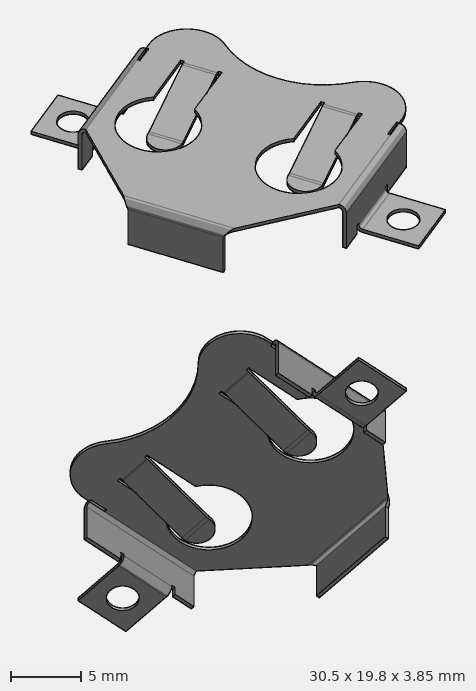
import cadquery as cq
import math


sheet = 0.3
inner_bend = 0.3
outer_bend = inner_bend + sheet
bend_angle = 90
diagonal = math.sqrt(0.5)
height = 3.85
overlap = 0.15
below, above = -0.3, height + 0.3

wall_x = 10.55
wall_front_y = -4.35
wall_back_y = 5.75
plate_edge_x = wall_x - outer_bend

slit_width = 0.198
slit_front_y = 4.33
slit_gap = 0.03

wall_y = -10.55
plate_front_y = wall_y + outer_bend
front_wall_half = 3.75
front_bend_half = 4.35

back_y = 9.25
lobe_radius = 3.0
hollow_y = 6.65

foot_end_x = 15.25
foot_width = 4.5
foot_hole_diameter = 2.35
foot_hole_x = 13.0
notch_width = 5.12
notch_height = 0.73

window_x = 5.52
window_diameter = 6.2
window_y = -1.65
slot_width = 3.23
slot_end_y = 5.58
tongue_width = 2.68
tongue_bend_y = 5.4
tip_bend_y = -0.55
tip_end_y = -1.8
tip_top_z = 1.7


def box(x0, x1, y0, y1, z0, z1):
    return cq.Workplane("XY").box(x1 - x0, y1 - y0, z1 - z0, centered=False).translate((x0, y0, z0))


def both_sides(body):
    return body.union(body.mirror("YZ"))


def outline_prism():
    """Outline of the plate, extruded through the full height."""
    lobe_x = plate_edge_x - lobe_radius
    lobe_y = back_y - lobe_radius
    rise = hollow_y - lobe_y
    hollow_radius = (lobe_x**2 + rise**2 - lobe_radius**2) / (2 * (lobe_radius - rise))
    share = lobe_radius / (lobe_radius + hollow_radius)
    tangent_x = lobe_x * (1 - share)
    tangent_y = lobe_y + share * (hollow_y + hollow_radius - lobe_y)
    return (
        cq.Workplane("XY")
        .moveTo(-front_bend_half, plate_front_y)
        .lineTo(front_bend_half, plate_front_y)
        .lineTo(plate_edge_x, wall_front_y)
        .lineTo(plate_edge_x, lobe_y)
        .threePointArc((lobe_x, back_y), (tangent_x, tangent_y))
        .threePointArc((0, hollow_y), (-tangent_x, tangent_y))
        .threePointArc((-lobe_x, back_y), (-plate_edge_x, lobe_y))
        .lineTo(-plate_edge_x, wall_front_y)
        .close()
        .extrude(height)
    )


def wall_section(plane, outer):
    """Bend and wall section, going down from the plate to an outer face at `outer`."""
    bend = outer - outer_bend
    inner = outer - sheet
    bend_z = height - outer_bend
    return (
        cq.Workplane(plane)
        .moveTo(bend - overlap, height)
        .lineTo(bend, height)
        .threePointArc((bend + outer_bend * diagonal, bend_z + outer_bend * diagonal), (outer, bend_z))
        .lineTo(outer, 0)
        .lineTo(inner, 0)
        .lineTo(inner, bend_z)
        .threePointArc((bend + inner_bend * diagonal, bend_z + inner_bend * diagonal), (bend, height - sheet))
        .lineTo(bend - overlap, height - sheet)
        .close()
    )


def front_bend_end():
    """Right end of the front bend: it narrows evenly while turning from the plate to the wall."""
    taper = front_bend_half - front_wall_half
    bend_z = height - outer_bend
    inside, outside = inner_bend / 2, outer_bend * 2
    sector = (
        cq.Workplane("YZ", origin=(front_wall_half, plate_front_y, bend_z))
        .moveTo(0, inside)
        .lineTo(0, outside)
        .lineTo(-outside, outside)
        .lineTo(-outside, 0)
        .lineTo(-inside, 0)
        .lineTo(-inside, inside)
        .close()
        .twistExtrude(taper, -bend_angle)
    )
    bend = (
        wall_section("YZ", -wall_y)
        .extrude(taper)
        .mirror("XZ")
        .translate((front_wall_half, 0, 0))
        .intersect(box(front_wall_half, front_bend_half, wall_y, plate_front_y, bend_z, height))
    )
    return bend.intersect(sector)


def side_wall():
    """Right wall, notched along its lower edge for the mounting foot."""
    length = wall_back_y - wall_front_y
    wall = wall_section("XZ", wall_x).extrude(length).translate((0, wall_back_y, 0))
    return wall.cut(
        box(plate_edge_x, foot_end_x, -notch_width / 2, notch_width / 2, below, notch_height)
    )


def foot():
    """Right mounting foot, bent outward from the side wall, with its hole."""
    inner_x = wall_x - sheet
    bend_x = wall_x + inner_bend
    bend_z = outer_bend
    strip = (
        cq.Workplane("XZ")
        .moveTo(inner_x, notch_height + overlap)
        .lineTo(inner_x, bend_z)
        .threePointArc((bend_x - outer_bend * diagonal, bend_z - outer_bend * diagonal), (bend_x, 0))
        .lineTo(foot_end_x, 0)
        .lineTo(foot_end_x, sheet)
        .lineTo(bend_x, sheet)
        .threePointArc((bend_x - inner_bend * diagonal, bend_z - inner_bend * diagonal), (wall_x, bend_z))
        .lineTo(wall_x, notch_height + overlap)
        .close()
        .extrude(foot_width / 2, both=True)
    )
    hole = cq.Workplane("XY").center(foot_hole_x, 0).circle(foot_hole_diameter / 2).extrude(height)
    return strip.cut(hole)


def window():
    """Right keyhole window cutter: a round opening with a slot toward the back."""
    slot = box(
        window_x - slot_width / 2, window_x + slot_width / 2, window_y, slot_end_y, below, above
    )
    opening = cq.Workplane("XY").center(window_x, window_y).circle(window_diameter / 2).extrude(above)
    return slot.union(opening)


def slit():
    """Right relief slit cutter."""
    return box(
        plate_edge_x - slit_width, plate_edge_x, slit_front_y, wall_back_y + slit_gap, below, above
    )


def tongue():
    """Right spring tongue: sloping down from the slot end to a flat, round-ended tip."""
    root_z = height - outer_bend
    tip_z = tip_top_z + outer_bend
    run = tongue_bend_y - tip_bend_y
    fall = root_z - tip_z
    slope = math.asin(2 * outer_bend / math.hypot(run, fall)) + math.atan2(fall, run)

    def root(radius, angle):
        return (tongue_bend_y - radius * math.sin(angle), root_z + radius * math.cos(angle))

    def tip(radius, angle):
        return (tip_bend_y + radius * math.sin(angle), tip_z - radius * math.cos(angle))

    root_y = slot_end_y + overlap
    tip_outer = outer_bend + sheet
    strip = (
        cq.Workplane("YZ")
        .moveTo(root_y, height)
        .lineTo(*root(outer_bend, 0))
        .threePointArc(root(outer_bend, slope / 2), root(outer_bend, slope))
        .lineTo(*tip(outer_bend, slope))
        .threePointArc(tip(outer_bend, slope / 2), tip(outer_bend, 0))
        .lineTo(tip_end_y, tip_top_z)
        .lineTo(tip_end_y, tip_top_z - sheet)
        .lineTo(*tip(tip_outer, 0))
        .threePointArc(tip(tip_outer, slope / 2), tip(tip_outer, slope))
        .lineTo(*root(inner_bend, slope))
        .threePointArc(root(inner_bend, slope / 2), root(inner_bend, 0))
        .lineTo(root_y, height - sheet)
        .close()
        .extrude(tongue_width / 2, both=True)
    )
    half = tongue_width / 2
    round_y = tip_end_y + half
    plan = (
        cq.Workplane("XY")
        .moveTo(half, root_y)
        .lineTo(half, round_y)
        .threePointArc((0, tip_end_y), (-half, round_y))
        .lineTo(-half, root_y)
        .close()
        .extrude(above)
    )
    return strip.intersect(plan).translate((window_x, 0, 0))


plate = box(-wall_x, wall_x, plate_front_y, back_y, height - sheet, height).intersect(outline_prism())
front_wall = wall_section("YZ", -wall_y).extrude(front_wall_half, both=True).mirror("XZ")
result = plate.union(front_wall)
result = result.union(both_sides(front_bend_end()))
result = result.union(both_sides(side_wall()))
result = result.cut(both_sides(slit()))
result = result.union(both_sides(foot()))
result = result.cut(both_sides(window()))
result = result.union(both_sides(tongue()))